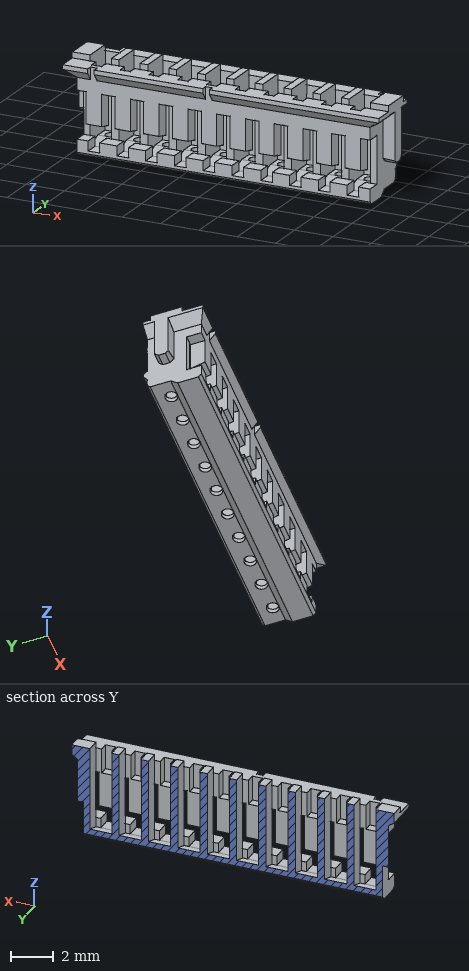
import cadquery as cq

contact_count = 10
pitch = 1.5
contact_xs = [(i - (contact_count - 1) / 2) * pitch for i in range(contact_count)]

total_height = 4.8
flange_top = 4.5
flange_edge_height = 0.23
flange_chamfer_height = 0.4
flange_edge_bottom = flange_top - flange_edge_height
flange_bottom = flange_edge_bottom - flange_chamfer_height
foot_top = 0.8
rear_bottom = 0.3
window_top = 3.23

flange_length = 16.5
body_length = 15.3
rear_flange_length = 13.5

flange_front = -1.7
flange_rear = 1.7
body_front = -1.4
body_rear = 1.3
wall_front = -0.67
wall_rear = 0.92

foot_chamfer = 0.15
foot_slope_front = -0.22
foot_slope_rear = 0.13

cavity_width = 1.1
cavity_rear_bottom = 0.88
hole_diameter = 0.6
hole_y = 0.43
ramp_rear = hole_y - hole_diameter / 2
notch_floor = 0.3
ramp_slope = 0.32
cavity_floor = notch_floor + ramp_slope * (ramp_rear - wall_front)

plate_width = 0.8
plate_front_bottom = 1.63
plate_rear_bottom = 1.44
foot_notch_width = 0.6
top_pocket_width = 0.52
top_pocket_front = -1.12

flange_notch_width = 0.34
flange_notch_contacts = [0, 4]

rail_front = -0.03
rail_front_taper = 0.06
rail_rear = 0.72
rail_bottom = 1.68
rail_chamfer = 0.2

bump_width = 0.45
bump_height = 0.2
bump_bottom = 0.91
bump_flat_bottom = 1.19
bump_flat_top = 1.38
bump_top = 1.57


def box(x_range, y_range, z_range):
    """Box given by its limits along each axis."""
    size = [high - low for low, high in (x_range, y_range, z_range)]
    corner = (x_range[0], y_range[0], z_range[0])
    return cq.Workplane("XY").box(*size, centered=False).translate(corner)


def centred(x, width):
    return (x - width / 2, x + width / 2)


def profile_along_x(points, x, width):
    """Extrude a (y, z) outline, centred on x."""
    return cq.Workplane("YZ").polyline(points).close().extrude(width / 2, both=True).translate((x, 0, 0))


def make_body():
    outline = [
        (body_front, flange_top),
        (body_front, foot_chamfer),
        (body_front + foot_chamfer, 0),
        (foot_slope_front, 0),
        (foot_slope_rear, rear_bottom),
        (body_rear - foot_chamfer, rear_bottom),
        (body_rear, rear_bottom + foot_chamfer),
        (body_rear, flange_top),
    ]
    return profile_along_x(outline, 0, body_length)


def make_flange():
    front_and_ends = [
        (flange_front, flange_top),
        (flange_front, flange_edge_bottom),
        (body_front, flange_bottom),
        (body_rear, flange_bottom),
        (body_rear, flange_top),
    ]
    end_outline = [
        (-flange_length / 2, flange_top),
        (-flange_length / 2, flange_edge_bottom),
        (-body_length / 2, flange_bottom),
        (body_length / 2, flange_bottom),
        (flange_length / 2, flange_edge_bottom),
        (flange_length / 2, flange_top),
    ]
    end_taper = (
        cq.Workplane("XZ")
        .polyline(end_outline)
        .close()
        .extrude(flange_rear - flange_front)
        .translate((0, flange_rear, 0))
    )
    rear = [
        (body_rear, flange_top),
        (flange_rear, flange_top),
        (flange_rear, flange_edge_bottom),
        (body_rear, flange_bottom),
    ]
    flange = profile_along_x(front_and_ends, 0, flange_length).intersect(end_taper)
    return flange.union(profile_along_x(rear, 0, rear_flange_length))


def make_raised_block():
    """Full-length block that the cavities divide into separate walls."""
    return box(centred(0, flange_length), (wall_front, wall_rear), (flange_top, total_height))


def make_rails():
    """Bar through both ends; its front face tapers towards each outer end."""
    outline = [
        (rail_front, flange_top),
        (rail_front, rail_bottom + rail_chamfer),
        (rail_front + rail_chamfer, rail_bottom),
        (rail_rear - rail_chamfer, rail_bottom),
        (rail_rear, rail_bottom + rail_chamfer),
        (rail_rear, flange_top),
    ]
    plan = [
        (-body_length / 2, rail_front),
        (-flange_length / 2, rail_front + rail_front_taper),
        (-flange_length / 2, rail_rear),
        (flange_length / 2, rail_rear),
        (flange_length / 2, rail_front + rail_front_taper),
        (body_length / 2, rail_front),
    ]
    tapered_plan = cq.Workplane("XY").polyline(plan).close().extrude(flange_top)
    return profile_along_x(outline, 0, flange_length).intersect(tapered_plan)


def make_bump(side):
    outline = [
        (body_rear, bump_bottom),
        (body_rear + bump_height, bump_flat_bottom),
        (body_rear + bump_height, bump_flat_top),
        (body_rear, bump_top),
    ]
    return profile_along_x(outline, side * (body_length - bump_width) / 2, bump_width)


def make_front_recess():
    """Band removed above the foot, leaving one latch plate per contact."""
    recess = box(centred(0, body_length), (body_front, wall_front), (foot_top, window_top))
    plate_outline = [
        (body_front, window_top),
        (body_front, plate_front_bottom),
        (wall_front, plate_rear_bottom),
        (wall_front, window_top),
    ]
    for x in contact_xs:
        recess = recess.cut(profile_along_x(plate_outline, x, plate_width))
    return recess


def make_contact_cut(x):
    """Cavity, terminal hole, foot notch and top pocket of one contact."""
    cavity_outline = [
        (wall_front, notch_floor),
        (ramp_rear, cavity_floor),
        (cavity_rear_bottom, cavity_floor),
        (wall_rear, flange_top),
        (wall_rear, total_height),
        (wall_front, total_height),
    ]
    hole = cq.Workplane("XY").center(x, hole_y).circle(hole_diameter / 2).extrude(total_height)
    pocket = box(centred(x, top_pocket_width), (top_pocket_front, wall_front), (window_top, flange_top))
    cavity = profile_along_x(cavity_outline, x, cavity_width)
    notch = box(centred(x, foot_notch_width), (body_front, wall_front), (notch_floor, foot_top))
    return cavity.union(hole).union(pocket).union(notch)


def make_flange_notch(x):
    return box(centred(x, flange_notch_width), (flange_front, body_front), (flange_bottom, flange_top))


result = make_body().union(make_flange()).union(make_raised_block()).union(make_rails())
for side in (-1, 1):
    result = result.union(make_bump(side))
result = result.cut(make_front_recess())
for contact_x in contact_xs:
    result = result.cut(make_contact_cut(contact_x))
for contact in flange_notch_contacts:
    result = result.cut(make_flange_notch(contact_xs[contact]))